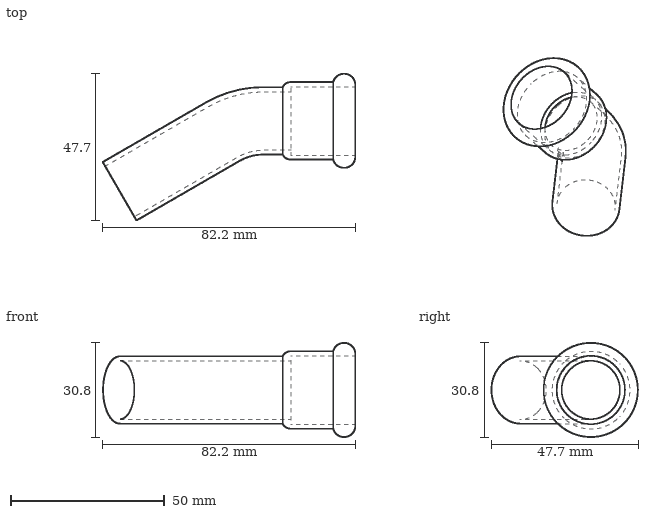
import cadquery as cq
import math

pipe_diameter = 22.0
bore_diameter = 19.0
wall = (pipe_diameter - bore_diameter) / 2
bend_angle = 30.0
bend_radius = 26.3
leg_length = 38.8
free_end_rounding = 0.25

mouth_x = 30.0
socket_diameter = 25.3
shoulder_x = 6.0
shoulder_radius = 3.0
bead_diameter = 30.75
bead_width = 7.4

socket_radius = socket_diameter / 2
socket_bore_radius = socket_radius - wall
bead_tube_radius = bead_width / 2
bead_center_x = mouth_x - bead_tube_radius
bead_center_radius = bead_diameter / 2 - bead_tube_radius
socket_floor_x = shoulder_x + shoulder_radius


def bent_rod(diameter):
    """Solid rod from the socket shoulder, round the bend, to the free end."""
    angle = math.radians(bend_angle)
    bend_end = (-bend_radius * math.sin(angle), -bend_radius * (1 - math.cos(angle)))
    middle = (-bend_radius * math.sin(angle / 2), -bend_radius * (1 - math.cos(angle / 2)))
    free_end = (
        bend_end[0] - leg_length * math.cos(angle),
        bend_end[1] - leg_length * math.sin(angle),
    )
    path = (
        cq.Workplane("XY")
        .moveTo(socket_floor_x, 0)
        .lineTo(0, 0)
        .threePointArc(middle, bend_end)
        .lineTo(*free_end)
    )
    section = cq.Workplane("YZ", origin=(socket_floor_x, 0, 0)).circle(diameter / 2)
    return section.sweep(path)


def cylinder_x(radius, start_x, end_x):
    return cq.Workplane("YZ", origin=(start_x, 0, 0)).circle(radius).extrude(end_x - start_x)


def socket_body():
    """Socket with a rounded shoulder, ending inside the bead."""
    body = cylinder_x(socket_radius, shoulder_x, bead_center_x)
    return body.faces("<X").edges().fillet(shoulder_radius)


def bead():
    """Round bead at the mouth, filled to the axis before boring."""
    torus = (
        cq.Workplane("XY")
        .center(bead_center_x, bead_center_radius)
        .circle(bead_tube_radius)
        .revolve(360, (0, -bead_center_radius), (1, -bead_center_radius))
    )
    return torus.union(cylinder_x(bead_center_radius, bead_center_x, mouth_x))


outside = bent_rod(pipe_diameter).union(socket_body()).union(bead())
socket_bore = cylinder_x(socket_bore_radius, socket_floor_x, mouth_x)
bored = outside.cut(bent_rod(bore_diameter)).cut(socket_bore)

result = bored.faces("<X").edges().fillet(free_end_rounding)